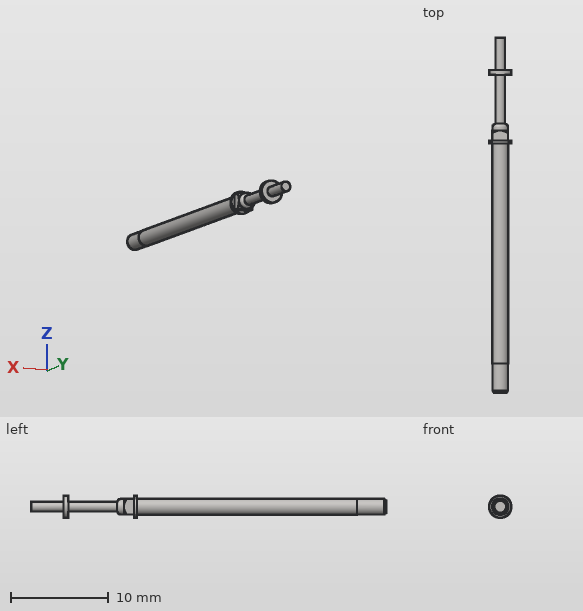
import cadquery as cq

length = 36.3
tip_y = length / 2
tail_y = -length / 2

collar_diameter = 2.3
rod_diameter = 1.0
body_diameter = 1.67

rod_collar_setback = 3.3
rod_collar_thickness = 0.5

head_setback = 8.8
head_length = 1.75
head_nose_radius = 0.4
flare_start = 0.7
flare_length = 0.25
flat_width = 1.65

body_collar_thickness = 0.3

tail_length = 3.0
tail_diameter = 1.65
tail_chamfer_length = 0.25
tail_chamfer_depth = 0.2

head_front_y = tip_y - head_setback
head_back_y = head_front_y - head_length
rod_collar_front_y = tip_y - rod_collar_setback
tail_front_y = tail_y + tail_length


def cylinder(diameter, front_y, back_y):
    """Solid cylinder on the Y axis between two stations."""
    return cq.Workplane("XZ", origin=(0, front_y, 0)).circle(diameter / 2).extrude(front_y - back_y)


def make_head():
    """Rounded nose and flare revolved about Y, trimmed to a square whose flats are flush with the neck."""
    neck_radius = flat_width / 2
    head_radius = collar_diameter / 2
    flare_y = head_front_y - flare_start
    nose_back_y = head_front_y - head_nose_radius
    turned = (
        cq.Workplane("XY")
        .moveTo(0, head_front_y)
        .lineTo(neck_radius - head_nose_radius, head_front_y)
        .radiusArc((neck_radius, nose_back_y), head_nose_radius)
        .lineTo(neck_radius, flare_y)
        .lineTo(head_radius, flare_y - flare_length)
        .lineTo(head_radius, head_back_y)
        .lineTo(0, head_back_y)
        .close()
        .revolve(360, (0, 0, 0), (0, 1, 0))
    )
    square = (
        cq.Workplane("XZ", origin=(0, head_front_y, 0))
        .rect(flat_width, flat_width)
        .extrude(head_length)
    )
    return turned.intersect(square)


def make_tail():
    """Reduced end of the body with a chamfered rim."""
    tail_radius = tail_diameter / 2
    return (
        cq.Workplane("XY")
        .moveTo(0, tail_front_y)
        .lineTo(tail_radius, tail_front_y)
        .lineTo(tail_radius, tail_y + tail_chamfer_length)
        .lineTo(tail_radius - tail_chamfer_depth, tail_y)
        .lineTo(0, tail_y)
        .close()
        .revolve(360, (0, 0, 0), (0, 1, 0))
    )


rod = cylinder(rod_diameter, tip_y, head_back_y)
rod_collar = cylinder(collar_diameter, rod_collar_front_y, rod_collar_front_y - rod_collar_thickness)
body_collar = cylinder(collar_diameter, head_back_y, head_back_y - body_collar_thickness)
body = cylinder(body_diameter, head_back_y, tail_front_y)

result = rod.union(rod_collar).union(make_head()).union(body_collar).union(body).union(make_tail())